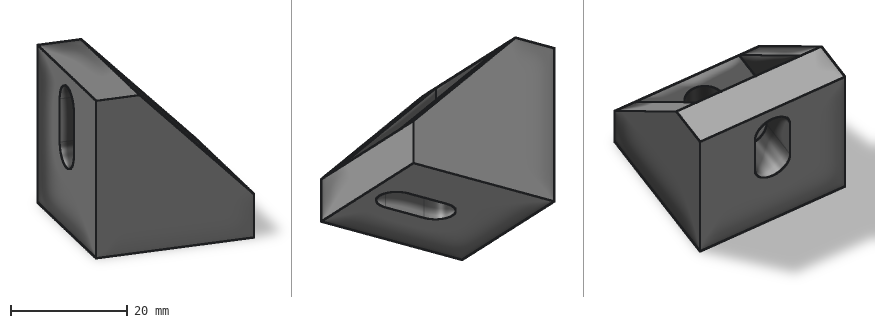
import cadquery as cq

side = 29.0
plate = 8.0
cheek = 4.05
slot_width = 7.02
slot_length = 15.0
slot_edge_gap = 2.52

slot_middle = side - slot_edge_gap - slot_length / 2
channel_width = side - 2 * cheek
leg = side - plate


def make_body():
    """Block with its upper back corner cut away by a slope between the plate ends."""
    profile = [(0, 0), (side, 0), (side, plate), (plate, side), (0, side)]
    return cq.Workplane("YZ").polyline(profile).close().extrude(side)


def make_channel():
    """Space between the cheeks, open at the top and the back."""
    channel = cq.Workplane("XY").box(channel_width, leg, leg, centered=False)
    return channel.translate((cheek, plate, plate))


def make_upright_slot():
    """Vertical slot through the upright plate."""
    slot = cq.Workplane("XZ", origin=(side / 2, 0, slot_middle))
    return slot.slot2D(slot_length, slot_width, 90).extrude(-plate)


def make_base_slot():
    """Matching slot through the base plate."""
    slot = cq.Workplane("XY", origin=(side / 2, slot_middle, 0))
    return slot.slot2D(slot_length, slot_width, 90).extrude(plate)


result = make_body().cut(make_channel()).cut(make_upright_slot()).cut(make_base_slot())